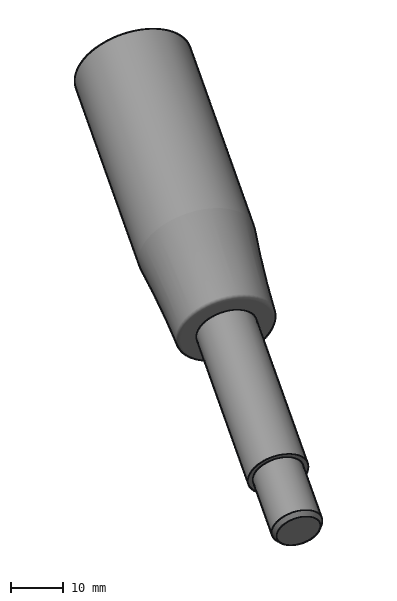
import cadquery as cq

total_length = 113.9
grip_radius = 11.5
shaft_diameter = 12.0
shaft_radius = shaft_diameter / 2
tip_radius = 5.0

dome_height = 0.8
grip_straight_end = 44.6
grip_length = 64.9
shaft_shoulder = 100.0

rim_fillet = 0.5
neck_radius = 9.8
neck_fillet = 0.7
taper_hollow = 0.2

chamfer_length = 1.0
chamfer_depth = 0.7


def make_grip():
    """Domed cylinder that narrows to the neck along a slightly hollow curve."""
    taper_middle = (
        (grip_straight_end + grip_length) / 2,
        (grip_radius + neck_radius) / 2 - taper_hollow,
    )
    dome_middle = (dome_height / 4, grip_radius / 2)
    profile = (
        cq.Workplane("XY")
        .moveTo(0, 0)
        .threePointArc(dome_middle, (dome_height, grip_radius))
        .lineTo(grip_straight_end, grip_radius)
        .threePointArc(taper_middle, (grip_length, neck_radius))
        .lineTo(grip_length, 0)
        .close()
    )
    grip = profile.revolve(360, (0, 0, 0), (1, 0, 0))
    grip = grip.faces("<X").edges("%CIRCLE").edges(">X").fillet(rim_fillet)
    return grip.faces(">X").edges().fillet(neck_fillet)


def make_spindle():
    """Stepped shaft with a chamfered tip, starting on the neck face of the grip."""
    return (
        cq.Workplane("XY")
        .moveTo(grip_length, 0)
        .lineTo(grip_length, shaft_radius)
        .lineTo(shaft_shoulder, shaft_radius)
        .lineTo(shaft_shoulder, tip_radius)
        .lineTo(total_length - chamfer_length, tip_radius)
        .lineTo(total_length, tip_radius - chamfer_depth)
        .lineTo(total_length, 0)
        .close()
        .revolve(360, (0, 0, 0), (1, 0, 0))
    )


handle = make_grip().union(make_spindle())
result = handle.translate((-total_length / 2, 0, 0))